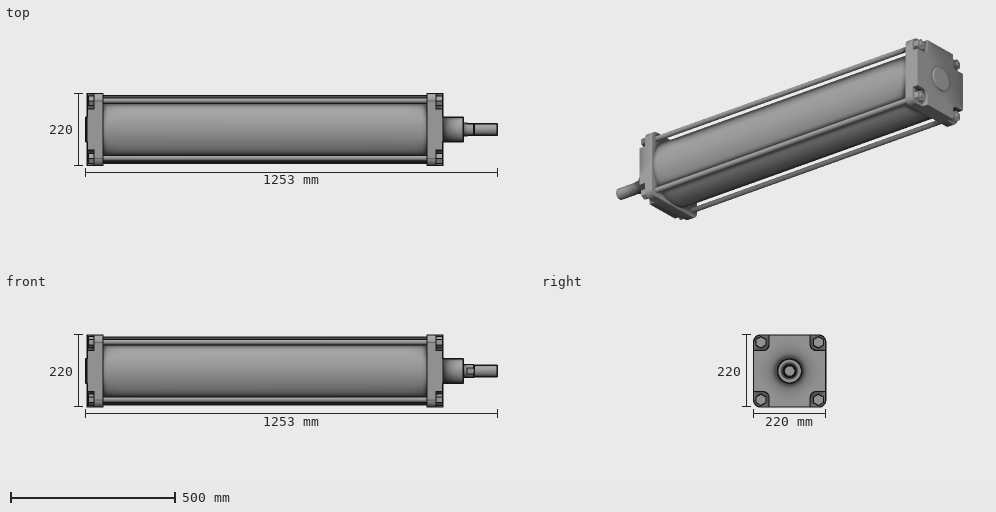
import cadquery as cq
import math

overall_length = 1253.0
cap_size = 220.0
cap_thickness = 48.0
barrel_length = 985.0
barrel_diameter = 208.0

tie_rod_spacing = 175.0
tie_rod_diameter = 16.0
tie_rod_chamfer = 1.5
nut_width = 30.0
rear_nut_height = 16.0
pocket_depth = 20.0
front_nut_height = pocket_depth
pocket_reach = 25.0
pocket_corner_radius = 18.0

collar_diameter = 75.0
rear_collar_length = 5.0
front_collar_length = 63.0
collar_chamfer = 1.5

rod_diameter = 40.0
rod_shoulder_length = 33.0
shoulder_chamfer = 2.0
flats_width = 36.0
flats_length = 22.0
thread_diameter = 36.0
thread_chamfer = 2.0

rear_cap_start = rear_collar_length
barrel_start = rear_cap_start + cap_thickness
barrel_end = barrel_start + barrel_length
front_cap_end = barrel_end + cap_thickness
boss_end = front_cap_end + front_collar_length
shoulder_end = boss_end + rod_shoulder_length
flats_start = shoulder_end - flats_length
tie_rod_offset = tie_rod_spacing / 2
cap_corner_radius = cap_size / 2 - tie_rod_offset
rear_pocket_floor = rear_cap_start + pocket_depth
front_pocket_floor = front_cap_end - pocket_depth
corner_signs = [(-1, -1), (-1, 1), (1, -1), (1, 1)]


def cylinder(diameter, x_start, x_end, y=0.0, z=0.0):
    """Cylinder parallel to X between two X positions."""
    return (
        cq.Workplane("YZ", origin=(x_start, y, z))
        .circle(diameter / 2)
        .extrude(x_end - x_start)
    )


def hex_nut(x_start, height, y, z):
    """Hexagon nut along X with two flats facing +Y and -Y."""
    corner_diameter = nut_width / math.cos(math.pi / 6)
    return (
        cq.Workplane("YZ", origin=(x_start, y, z))
        .transformed(rotate=(0, 0, 90))
        .polygon(6, corner_diameter)
        .extrude(height)
    )


def corner_pocket(side_y, side_z, x_start):
    """Nut pocket with a round inner corner, open to both outer sides of the cap."""
    inner_edge = tie_rod_offset - pocket_reach
    centre = inner_edge + cap_size / 2
    return (
        cq.Workplane("YZ", origin=(x_start, side_y * centre, side_z * centre))
        .rect(cap_size, cap_size)
        .extrude(pocket_depth)
        .edges("|X")
        .fillet(pocket_corner_radius)
    )


def make_cap_plate(x_start, x_end, pocket_start):
    """Square end plate with rounded corners, nut pockets and tie rod holes."""
    plate = (
        cq.Workplane("YZ", origin=(x_start, 0, 0))
        .rect(cap_size, cap_size)
        .extrude(x_end - x_start)
        .edges("|X")
        .fillet(cap_corner_radius)
    )
    for side_y, side_z in corner_signs:
        hole = cylinder(tie_rod_diameter, x_start, x_end, side_y * tie_rod_offset, side_z * tie_rod_offset)
        plate = plate.cut(corner_pocket(side_y, side_z, pocket_start)).cut(hole)
    return plate


def make_rear_cap():
    """Rear cap plate with a short centring collar on its outer face."""
    collar = cylinder(collar_diameter, 0, barrel_start)
    collar = collar.faces("<X").chamfer(collar_chamfer)
    return make_cap_plate(rear_cap_start, barrel_start, rear_cap_start).union(collar)


def make_front_cap():
    """Front cap plate with a long guide boss, bored through for the piston rod."""
    collar = cylinder(collar_diameter, barrel_end, boss_end)
    collar = collar.faces(">X").chamfer(collar_chamfer)
    rod_hole = cylinder(rod_diameter, barrel_end, boss_end)
    plate = make_cap_plate(barrel_end, front_cap_end, front_pocket_floor)
    return plate.union(collar).cut(rod_hole)


def make_tie_rod(y, z):
    """Tie rod flush with both caps, with a shallow rear nut and a front nut as tall as its pocket."""
    rod = cylinder(tie_rod_diameter, rear_cap_start, front_cap_end, y, z)
    rod = rod.faces("<X").chamfer(tie_rod_chamfer)
    rear_nut = hex_nut(rear_pocket_floor - rear_nut_height, rear_nut_height, y, z)
    front_nut = hex_nut(front_pocket_floor, front_nut_height, y, z)
    return rod.union(rear_nut).union(front_nut)


def make_piston_rod():
    """Rod with two wrench flats facing +Y and -Y, and a thinner threaded end."""
    shoulder = cylinder(rod_diameter, barrel_end, shoulder_end).faces(">X").chamfer(shoulder_chamfer)
    flat_depth = (rod_diameter - flats_width) / 2
    flat_centre = flats_width / 2 + flat_depth / 2
    for side_y in (-1, 1):
        flat_cut = (
            cq.Workplane("YZ", origin=(flats_start, side_y * flat_centre, 0))
            .rect(flat_depth, rod_diameter)
            .extrude(flats_length)
        )
        shoulder = shoulder.cut(flat_cut)
    thread = cylinder(thread_diameter, shoulder_end, overall_length).faces(">X").chamfer(thread_chamfer)
    return shoulder.union(thread)


barrel = cylinder(barrel_diameter, barrel_start, barrel_end)
rear_cap = make_rear_cap()
front_cap = make_front_cap()
piston_rod = make_piston_rod()
tie_rods = [
    make_tie_rod(side_y * tie_rod_offset, side_z * tie_rod_offset)
    for side_y, side_z in corner_signs
]

result = cq.Compound.makeCompound(
    [
        rear_cap.val(),
        front_cap.val(),
        barrel.val(),
        piston_rod.val(),
        *[tie_rod.val() for tie_rod in tie_rods],
    ]
)